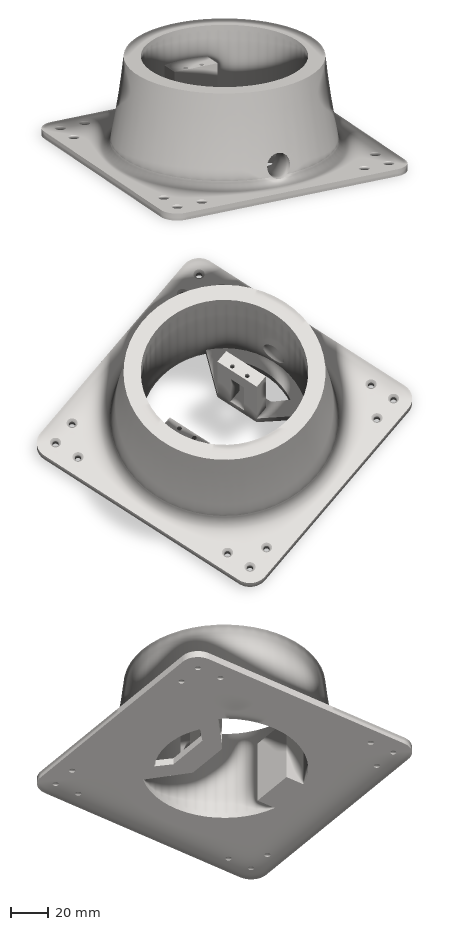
import cadquery as cq
import math

plate_side = 150.0
plate_thickness = 4.0
corner_radius = 10.0
plate_half = plate_side / 2

screw_diameter = 3.5
screw_head_diameter = 6.0
countersink_angle = 90
screw_edge_inset = 10.0
screw_pitch = 15.0

total_height = 56.0
bore_diameter = 90.0
bore_radius = bore_diameter / 2
top_radius = 54.3
middle_radius = 57.3
flare_radius = 61.5
flare_height = 8.1
flare_middle_height = (total_height + flare_height) / 2
foot_radius = 66.5

post_width = 26.4
post_half_width = post_width / 2
post_height = 38.1
left_post_face = -31.6
left_post_back = -48.0
right_post_face = 11.4
right_post_depth = 8.1
post_hole_diameter = 2.5
post_hole_depth = 9.0
post_hole_inset = 2.4
post_hole_pitch = 9.9
cable_slot_width = 9.0
cable_slot_top = 28.5

bracket_end_x = 29.1
bracket_end_y = 33.9
bracket_outer_radius = 48.0
window_front_x = 24.3
window_corner_x = 31.5
window_corner_y = 20.8
window_back_x = 37.4

side_hole_diameter = 14.0
side_hole_height = 13.5


def box(x_min, x_max, width, height, z_min=0):
    """Box between two X positions, centred on Y."""
    base = cq.Workplane("XY").workplane(offset=z_min).center((x_min + x_max) / 2, 0)
    return base.rect(x_max - x_min, width).extrude(height - z_min)


def make_plate():
    plate = cq.Workplane("XY").rect(plate_side, plate_side).extrude(plate_thickness)
    return plate.edges("|Z").fillet(corner_radius)


def make_collar():
    foot_run = foot_radius - flare_radius
    foot_rise = flare_height - plate_thickness
    fillet_radius = (foot_run**2 + foot_rise**2) / (2 * foot_rise)
    half_sweep = math.atan2(foot_rise, foot_run)
    fillet_middle = (
        foot_radius - fillet_radius * math.sin(half_sweep),
        plate_thickness + fillet_radius * (1 - math.cos(half_sweep)),
    )
    return (
        cq.Workplane("XZ")
        .moveTo(0, 0)
        .lineTo(0, total_height)
        .lineTo(top_radius, total_height)
        .threePointArc((middle_radius, flare_middle_height), (flare_radius, flare_height))
        .threePointArc(fillet_middle, (foot_radius, plate_thickness))
        .lineTo(foot_radius, 0)
        .close()
        .revolve(360, (0, 0, 0), (0, 1, 0))
    )


def make_bracket():
    outline = [
        (right_post_face, -post_half_width),
        (bracket_end_x, -bracket_end_y),
        (bracket_outer_radius, -bracket_end_y),
        (bracket_outer_radius, bracket_end_y),
        (bracket_end_x, bracket_end_y),
        (right_post_face, post_half_width),
    ]
    bracket = cq.Workplane("XY").polyline(outline).close().extrude(plate_thickness)
    trim = cq.Workplane("XY").circle(bracket_outer_radius).extrude(plate_thickness)
    window = (
        cq.Workplane("XY")
        .moveTo(window_front_x, -post_half_width)
        .lineTo(window_corner_x, -window_corner_y)
        .threePointArc((window_back_x, 0), (window_corner_x, window_corner_y))
        .lineTo(window_front_x, post_half_width)
        .close()
        .extrude(plate_thickness)
    )
    return bracket.intersect(trim).cut(window)


def drill_post(body, hole_x):
    """Two blind holes in the top of a post."""
    half_pitch = post_hole_pitch / 2
    holes = (
        cq.Workplane("XY")
        .workplane(offset=post_height - post_hole_depth)
        .pushPoints([(hole_x, -half_pitch), (hole_x, half_pitch)])
        .circle(post_hole_diameter / 2)
        .extrude(post_hole_depth)
    )
    return body.cut(holes)


def screw_points():
    outer = plate_half - screw_edge_inset
    inner = outer - screw_pitch
    corner = [(outer, outer), (inner, outer), (outer, inner)]
    return [(sx * x, sy * y) for sx in (-1, 1) for sy in (-1, 1) for x, y in corner]


bore = cq.Workplane("XY").circle(bore_radius).extrude(total_height)
body = make_plate().union(make_collar()).cut(bore)

right_post_back = right_post_face + right_post_depth
left_post = box(left_post_back, left_post_face, post_width, post_height)
right_post = box(right_post_face, right_post_back, post_width, post_height)
cable_slot = box(right_post_face, right_post_back, cable_slot_width, cable_slot_top, plate_thickness)
body = body.union(left_post).union(make_bracket()).union(right_post.cut(cable_slot))
body = drill_post(body, left_post_face - post_hole_inset)
body = drill_post(body, right_post_face + post_hole_inset)

side_hole = (
    cq.Workplane("YZ")
    .workplane(offset=right_post_back)
    .center(0, side_hole_height)
    .circle(side_hole_diameter / 2)
    .extrude(plate_half - right_post_back)
)
body = body.cut(side_hole)

result = (
    body.copyWorkplane(cq.Workplane("XY", origin=(0, 0, plate_thickness)))
    .pushPoints(screw_points())
    .cskHole(screw_diameter, screw_head_diameter, countersink_angle)
)